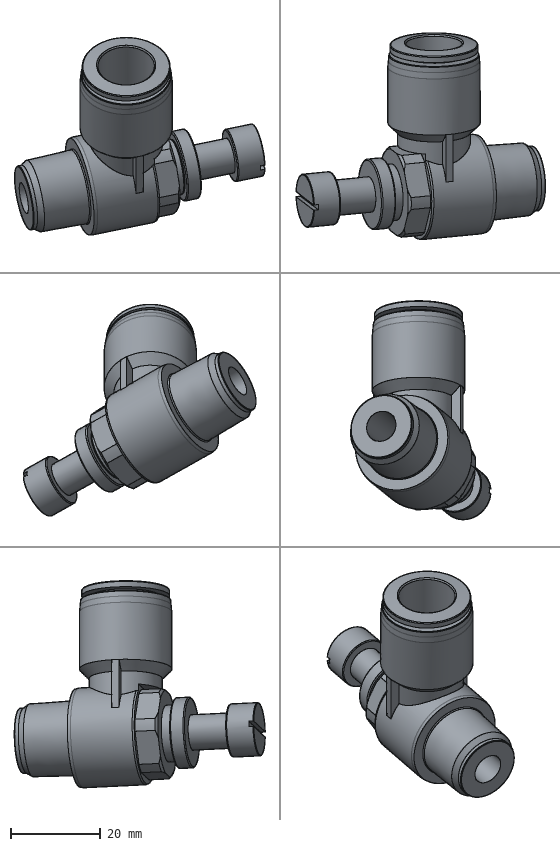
import cadquery as cq
import math


tip_y = -24.05
taper_end_y = -23.05
thread_end_y = -21.7
thread_start_y = -11.25
body_front_y = -10.9
body_back_y = 4.5
hex_back_y = 9.65
collar_front_y = 11.9
collar_back_y = 15.3
head_front_y = 24.4
head_back_y = tip_y + 54.9

body_radius = 22.5 / 2
seal_radius = 8.7
thread_root_radius = 8.5
thread_end_radius = 8.25
tip_radius = 14.7 / 2
neck_radius = 12.8 / 2
collar_radius = 16.0 / 2
stem_radius = 8.0 / 2
head_radius = 12.0 / 2
edge_bevel = 0.15
collar_bevel = 0.3
body_front_bevel_length = 0.75
body_back_bevel_length = 0.45

hex_across_flats = 19.1
hex_corner_radius = 10.3
hex_bevel = 0.55

slot_width = 1.2
slot_depth = 1.1

port_top_z = 34.0
flange_bevel_z = 33.55
flange_edge_z = 33.3
flange_bottom_z = 32.1
flange_neck_z = 31.8
shell_top_z = 31.25
shell_step_z = 29.85
shell_taper_z = 28.45
shell_bottom_z = 15.3
port_neck_z = 13.1
port_back_z = 10.2
flange_radius = 19.8 / 2
flange_bevel_radius = 9.7
flange_root_radius = 7.65
flange_neck_radius = 14.7 / 2
shell_top_radius = 20.3 / 2
shell_step_radius = 10.25
shell_radius = 20.8 / 2
port_neck_radius = 8.25
mouth_radius = 6.65
tube_radius = 12.7 / 2
mouth_bevel = mouth_radius - tube_radius

rib_thickness = 1.7
passage_radius = 7.0 / 2


def turned_on_y(profile):
    """Revolve (radius, y) points about the Y axis."""
    closed = [(0, profile[0][1])] + profile + [(0, profile[-1][1])]
    return cq.Workplane("XY").polyline(closed).close().revolve(360, (0, 0), (0, 1))


def turned_on_z(profile):
    """Revolve (radius, z) points about the Z axis."""
    closed = [(0, profile[0][1])] + profile + [(0, profile[-1][1])]
    return cq.Workplane("XZ").polyline(closed).close().revolve(360, (0, 0), (0, 1))


def bevelled_disc(radius, y_start, y_end, start_length, end_length, drop):
    """Cylinder on the Y axis whose rims lose `drop` of radius over the given lengths."""
    return turned_on_y([
        (radius - drop, y_start),
        (radius, y_start + start_length),
        (radius, y_end - end_length),
        (radius - drop, y_end),
    ])


def threaded_end():
    return turned_on_y([
        (tip_radius - edge_bevel, tip_y),
        (tip_radius, tip_y + edge_bevel),
        (tip_radius, taper_end_y),
        (thread_end_radius, thread_end_y),
        (thread_root_radius, thread_start_y),
        (seal_radius, body_front_y),
        (seal_radius, 0),
    ])


def hexagon():
    """Flats face up and down; the corners and the back rim are turned."""
    across_corners = hex_across_flats / math.cos(math.pi / 6)
    prism = (
        cq.Workplane("XZ", origin=(0, hex_back_y, 0))
        .polygon(6, across_corners)
        .extrude(hex_back_y)
    )
    envelope = bevelled_disc(hex_corner_radius, 0, hex_back_y, hex_bevel, hex_bevel, hex_bevel)
    return prism.intersect(envelope)


def adjusting_screw():
    neck = turned_on_y([
        (neck_radius, 0),
        (neck_radius, collar_front_y - 2 * edge_bevel),
        (neck_radius - edge_bevel, collar_front_y - edge_bevel),
        (neck_radius - edge_bevel, collar_front_y),
    ])
    collar = bevelled_disc(
        collar_radius, collar_front_y, collar_back_y, collar_bevel, collar_bevel, collar_bevel
    )
    stem = turned_on_y([(stem_radius, 0), (stem_radius, head_front_y)])
    head = bevelled_disc(
        head_radius, head_front_y, head_back_y, collar_bevel, edge_bevel, edge_bevel
    )
    slot = cq.Workplane("XY").box(2 * head_radius, 2 * slot_depth, slot_width)
    head = head.cut(slot.translate((0, head_back_y, 0)))
    return neck.union(collar).union(stem).union(head)


def tube_port():
    port = turned_on_z([
        (port_neck_radius, 0),
        (port_neck_radius, port_neck_z),
        (shell_radius, shell_bottom_z),
        (shell_radius, shell_taper_z),
        (shell_step_radius, shell_step_z),
        (shell_top_radius, shell_top_z - edge_bevel),
        (shell_top_radius - edge_bevel, shell_top_z),
        (flange_neck_radius, shell_top_z),
        (flange_neck_radius, flange_neck_z),
        (flange_root_radius, flange_bottom_z),
        (flange_radius, flange_bottom_z),
        (flange_radius, flange_edge_z),
        (flange_bevel_radius, flange_bevel_z),
        (mouth_radius, port_top_z),
    ])
    hex_clearance = cq.Workplane("XY").box(
        2 * shell_radius, shell_radius, port_back_z, centered=(True, False, False)
    )
    return port.cut(hex_clearance.translate((0, body_back_y, 0)))


def side_ribs():
    """One plate through the axis that shows as a rib on each side of the port neck."""
    return cq.Workplane("XY").box(
        2 * shell_radius, rib_thickness, shell_bottom_z, centered=(True, True, False)
    )


def flow_passage():
    """Tube socket and the elbow bore from the port to the threaded tip."""
    socket = turned_on_z([
        (tube_radius, shell_bottom_z),
        (tube_radius, port_top_z - mouth_bevel),
        (mouth_radius, port_top_z),
    ])
    drop = turned_on_z([(passage_radius, 0), (passage_radius, shell_bottom_z)])
    outlet = turned_on_y([(passage_radius, tip_y), (passage_radius, 0)])
    corner = cq.Workplane("XY").sphere(passage_radius)
    return socket.union(drop).union(outlet).union(corner)


body = bevelled_disc(
    body_radius, body_front_y, body_back_y,
    body_front_bevel_length, body_back_bevel_length, edge_bevel,
)
fitting = body.union(threaded_end()).union(hexagon()).union(adjusting_screw())
fitting = fitting.union(tube_port()).union(side_ribs())
result = fitting.cut(flow_passage())